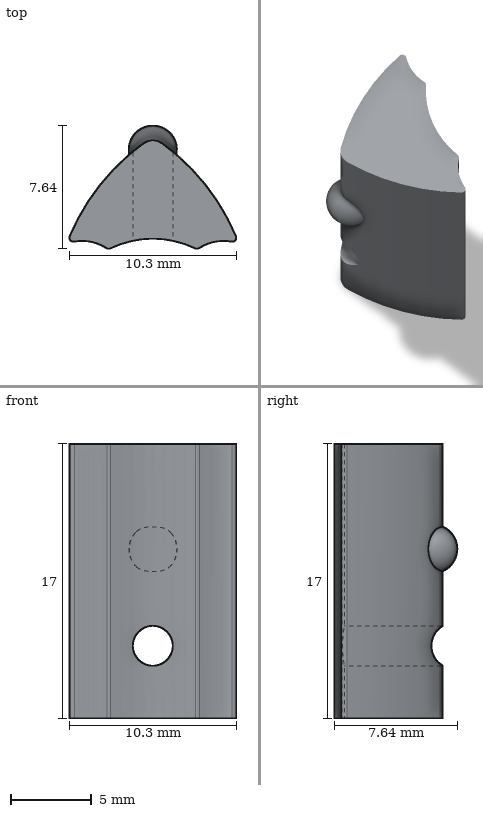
import cadquery as cq
import math

length = 17.0

flank_radius = 13.6
corner_half_width = 5.34
corner_y = 0.31
flank_tip_y = 6.92
ridge_radius = 1.0
corner_radius = 0.25

foot_half_spacing = 2.75
foot_y = -0.05
foot_radius = 0.25
center_hollow_radius = 6.0
side_hollow_radius = 2.8

hole_diameter = 2.46
hole_z = 4.5

ball_radius = 1.5
ball_center_y = 6.13
ball_z = 10.5


def arc_middle(start, end, radius):
    """Middle point of the minor arc that bulges to the left of the line start-end."""
    dx = end[0] - start[0]
    dy = end[1] - start[1]
    chord = math.hypot(dx, dy)
    sag = radius - math.sqrt(radius**2 - (chord / 2) ** 2)
    middle_x = (start[0] + end[0]) / 2
    middle_y = (start[1] + end[1]) / 2
    return (middle_x - sag * dy / chord, middle_y + sag * dx / chord)


def make_prism():
    tip = (0, flank_tip_y)
    left_corner = (-corner_half_width, corner_y)
    left_foot = (-foot_half_spacing, foot_y)
    right_foot = (foot_half_spacing, foot_y)
    right_corner = (corner_half_width, corner_y)

    prism = (
        cq.Workplane("XY")
        .moveTo(*left_corner)
        .threePointArc(arc_middle(left_corner, left_foot, side_hollow_radius), left_foot)
        .threePointArc(arc_middle(left_foot, right_foot, center_hollow_radius), right_foot)
        .threePointArc(arc_middle(right_foot, right_corner, side_hollow_radius), right_corner)
        .threePointArc(arc_middle(tip, right_corner, flank_radius), tip)
        .threePointArc(arc_middle(left_corner, tip, flank_radius), left_corner)
        .close()
        .extrude(length)
    )
    return round_upright_edges(prism)


def round_upright_edges(prism):
    prism = prism.edges("|Z").edges(">Y").fillet(ridge_radius)
    for side in ("<X", ">X"):
        prism = prism.edges("|Z").edges(side).fillet(corner_radius)
    return prism.edges("|Z").edges("<Y").fillet(foot_radius)


def make_hole():
    depth = 2 * flank_tip_y
    return (
        cq.Workplane("XZ", origin=(0, 0, hole_z))
        .circle(hole_diameter / 2)
        .extrude(depth, both=True)
    )


def make_ball():
    return cq.Workplane("XY").sphere(ball_radius).translate((0, ball_center_y, ball_z))


result = make_prism().cut(make_hole()).union(make_ball())